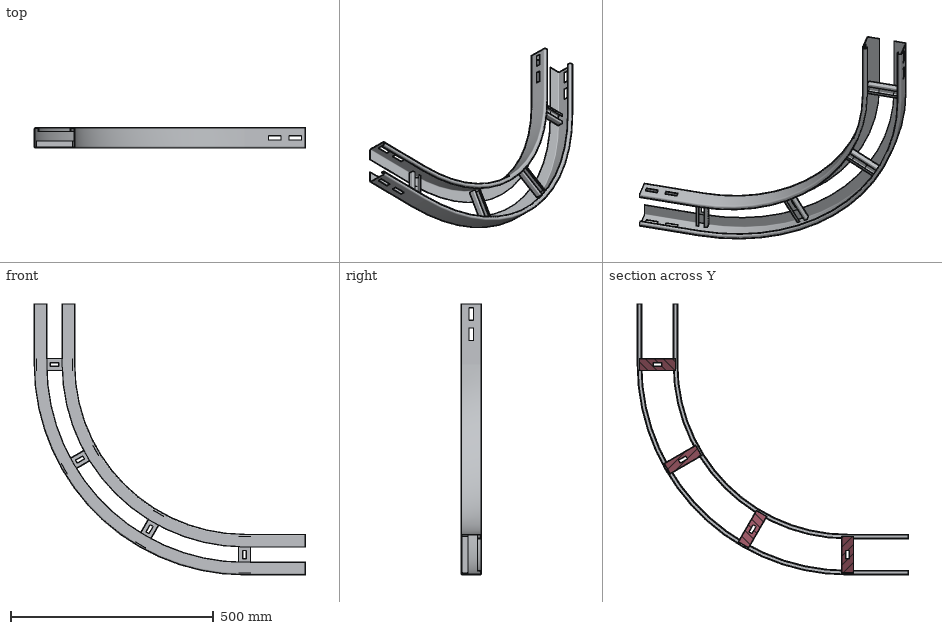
import cadquery as cq
import math


overall = 670.0
leg_length = 150.0
ladder_width = 100.5
outer_radius = overall - leg_length
inner_radius = outer_radius - ladder_width
bend_angle = 90.0

rail_height = 50.0
rail_sheet = 2.0
rail_bend = 4.0
front_flange = 31.5
back_flange = 11.5
back_lip = 9.5

rail_slot_length = 30.0
rail_slot_width = 10.0
rail_slot_margin = 10.0
rail_slot_pitch = 50.0
rail_slot_count = 2

rung_count = 4
rung_width = 30.0
rung_depth = 15.5
rung_sheet = 1.5
rung_lip = 8.0
rung_bend = 2.0
rung_end_gap = 5.5
rung_slot_length = 20.0
rung_slot_width = 8.0


def rounded_outline(corners):
    """Closed outline from right-angled (x, y, radius) corners; a radius of 0 leaves a sharp corner.

    The first corner has to be sharp.
    """
    points = [cq.Vector(x, y) for x, y, _ in corners]
    entries, middles, exits = [], [], []
    for i, (_, _, radius) in enumerate(corners):
        corner = points[i]
        back = (points[i - 1] - corner).normalized()
        ahead = (points[(i + 1) % len(points)] - corner).normalized()
        entries.append(corner + back * radius)
        middles.append(corner + (back + ahead) * (radius * (1 - math.sqrt(0.5))))
        exits.append(corner + ahead * radius)
    outline = cq.Workplane("XY").moveTo(exits[0].x, exits[0].y)
    for i in range(1, len(corners)):
        outline = outline.lineTo(entries[i].x, entries[i].y)
        if corners[i][2] > 0:
            outline = outline.threePointArc(middles[i].toTuple(), exits[i].toTuple())
    return outline.close()


def rail_section(web_x, inward):
    """Rail section in the XY plane; web outside face at web_x, flanges pointing along inward."""
    inside_bend = rail_bend - rail_sheet
    corners = [
        (front_flange, 0, 0),
        (0, 0, rail_bend),
        (0, rail_height, rail_bend),
        (back_flange, rail_height, rail_bend),
        (back_flange, rail_height - back_lip, 0),
        (back_flange - rail_sheet, rail_height - back_lip, 0),
        (back_flange - rail_sheet, rail_height - rail_sheet, inside_bend),
        (rail_sheet, rail_height - rail_sheet, inside_bend),
        (rail_sheet, rail_sheet, inside_bend),
        (front_flange, rail_sheet, 0),
    ]
    return rounded_outline([(web_x + inward * depth, y, radius) for depth, y, radius in corners])


def rail_slots(web_radius):
    """Cutters for the slots through the web of the +Z leg."""
    first_z = leg_length - rail_slot_margin - rail_slot_length / 2
    centres = [(-web_radius, rail_height / 2, first_z - i * rail_slot_pitch) for i in range(rail_slot_count)]
    cutter = cq.Workplane("XY").box(2 * rail_bend, rail_slot_width, rail_slot_length)
    return [cutter.translate(centre) for centre in centres]


def make_rail(web_radius, inward):
    """Side rail: a quarter-circle sweep with a straight slotted leg at each end."""
    section_x = -web_radius
    leg = rail_section(section_x, inward).extrude(leg_length)
    for slot in rail_slots(web_radius):
        leg = leg.cut(slot)
    second_leg = leg.mirror(cq.Vector(1, 0, -1))
    curve = rail_section(section_x, inward).revolve(bend_angle, (0, 0, 0), (0, -1, 0))
    return curve.union(leg, clean=False).union(second_leg, clean=False)


def make_rung(angle):
    """Lipped channel rung behind the front flanges, open to the back, turned about the bend centre."""
    half = rung_width / 2
    inside_half = half - rung_sheet
    inside_bend = rung_bend - rung_sheet
    front = rail_sheet
    back = front + rung_depth
    lip_end = half - rung_lip
    rung_length = ladder_width - 2 * rung_end_gap
    channel = rounded_outline([
        (-lip_end, back, 0),
        (-half, back, rung_bend),
        (-half, front, rung_bend),
        (half, front, rung_bend),
        (half, back, rung_bend),
        (lip_end, back, 0),
        (lip_end, back - rung_sheet, 0),
        (inside_half, back - rung_sheet, inside_bend),
        (inside_half, front + rung_sheet, inside_bend),
        (-inside_half, front + rung_sheet, inside_bend),
        (-inside_half, back - rung_sheet, inside_bend),
        (-lip_end, back - rung_sheet, 0),
    ]).extrude(rung_length)
    slot = cq.Workplane("XY").box(rung_slot_width, rung_depth, rung_slot_length)
    slot_centre = (0, front, rung_length / 2)
    rung = channel.cut(slot.translate(slot_centre))
    rung = rung.translate((0, 0, -outer_radius + rung_end_gap))
    return rung.rotate((0, 0, 0), (0, 1, 0), angle)


outer_rail = make_rail(outer_radius, 1)
inner_rail = make_rail(inner_radius, -1)
rungs = [make_rung(i * bend_angle / (rung_count - 1)) for i in range(rung_count)]

result = cq.Compound.makeCompound([
    outer_rail.val(),
    inner_rail.val(),
    *[rung.val() for rung in rungs],
])